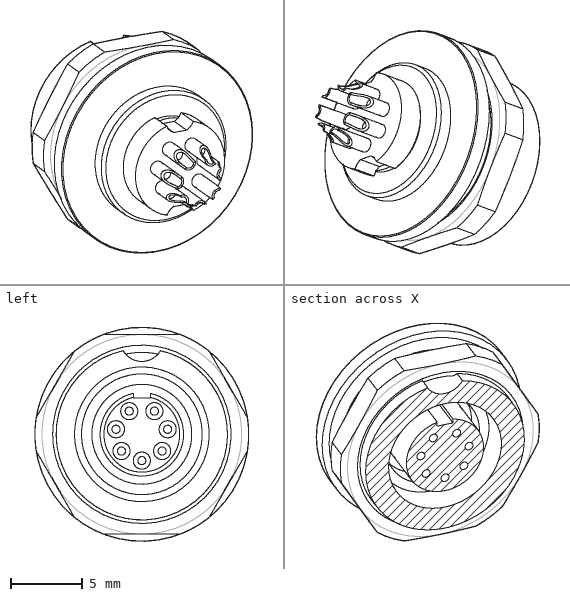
import cadquery as cq
import math

NUT_START = 3.06
NUT_END = 5.05
SEAL_START = 6.3
FLANGE_START = 6.63
FLANGE_END = 7.83
BOSS_END = 9.02
COLLAR_START = 9.44
COLLAR_END = 11.34
PIN_END = 14.5

BARREL_DIAMETER = 12.0
FLANGE_DIAMETER = 15.0
FLANGE_CHAMFER = 0.08
BOSS_DIAMETER = 9.8
BOSS_CHAMFER = 0.24
SEAL_SECTION_DIAMETER = 1.0
SEAL_CENTER_RADIUS = BARREL_DIAMETER / 2 + SEAL_SECTION_DIAMETER / 2
BORE_DIAMETER = 8.46
BORE_DEPTH = 4.5
MOUTH_DIAMETER = 9.44
MOUTH_DEPTH = 0.5
INNER_BORE_DIAMETER = 7.0
INNER_BORE_DEPTH = 6.0

GROOVE_RADIUS = 1.5
GROOVE_BOTTOM = 5.1

NUT_ACROSS_FLATS = 14.0
NUT_DIAMETER = 15.0
NUT_EDGE_CHAMFER = 0.1
NUT_BORE_DIAMETER = 11.48
NUT_BORE_CHAMFER_DIAMETER = 12.5
NUT_BORE_CHAMFER_DEPTH = 0.28

INSERT_FACE = 0.52
INSERT_DIAMETER = 5.85
INSERT_CHAMFER = 0.27
INSERT_KEYWAY_WIDTH = 1.18
INSERT_KEYWAY_FLOOR = 2.55
NECK_DIAMETER = 6.2
COLLAR_DIAMETER = 7.0
COLLAR_NOTCH_RADIUS = 1.12
COLLAR_NOTCH_MOUTH_WIDTH = 2.07
COLLAR_NOTCH_FLOOR_WIDTH = 1.0

CONTACT_COUNT = 7
CONTACT_CIRCLE_RADIUS = 1.85
CONTACT_PITCH_ANGLE = 50.5
FIRST_CONTACT_ANGLE = -90 - CONTACT_PITCH_ANGLE * (CONTACT_COUNT // 2)
SOCKET_DIAMETER = 0.57
SOCKET_MOUTH_DIAMETER = 1.2
SOCKET_DEPTH = 3.0
PIN_DIAMETER = 1.0
CUP_DIAMETER = 0.7
CUP_START = 12.75
SCOOP_START = 12.93
SCOOP_END_OFFSET = -0.18
SCOOP_RADIUS = 2.18
SIDE_CONTACTS = (1, 5)
SIDE_SCOOP_TWIST = -11.0


def disc(diameter, start, end):
    """Solid cylinder along X."""
    return cq.Workplane("YZ", origin=(start, 0, 0)).circle(diameter / 2).extrude(end - start)


def cone(start_diameter, end_diameter, start, end):
    """Solid truncated cone along X."""
    profile = [(start, 0), (start, start_diameter / 2), (end, end_diameter / 2), (end, 0)]
    return cq.Workplane("XY").polyline(profile).close().revolve(360, (0, 0, 0), (1, 0, 0))


def at_contact(body, index):
    """Move a body on the X axis to a contact place, with its +Y side facing outward."""
    angle = FIRST_CONTACT_ANGLE + index * CONTACT_PITCH_ANGLE
    return body.translate((0, CONTACT_CIRCLE_RADIUS, 0)).rotate((0, 0, 0), (1, 0, 0), angle)


def make_shell():
    """Barrel, flange and rear boss with the stepped front bore."""
    flange = disc(FLANGE_DIAMETER, FLANGE_START, FLANGE_END).faces(">X").chamfer(FLANGE_CHAMFER)
    boss = disc(BOSS_DIAMETER, FLANGE_END, BOSS_END).faces(">X").chamfer(BOSS_CHAMFER)
    barrel = disc(BARREL_DIAMETER, 0, FLANGE_START)
    groove_center = GROOVE_BOTTOM + GROOVE_RADIUS
    groove = disc(2 * GROOVE_RADIUS, 0, FLANGE_START).translate((0, 0, groove_center))
    shell = barrel.cut(groove).union(flange).union(boss)
    shell = shell.cut(disc(BORE_DIAMETER, 0, BORE_DEPTH))
    shell = shell.cut(disc(INNER_BORE_DIAMETER, 0, INNER_BORE_DEPTH))
    return shell.cut(cone(MOUTH_DIAMETER, BORE_DIAMETER, 0, MOUTH_DEPTH))


def make_seal():
    """O-ring around the barrel, partly sunk into the flange."""
    section_radius = SEAL_SECTION_DIAMETER / 2
    section = cq.Workplane("XY").center(SEAL_START + section_radius, SEAL_CENTER_RADIUS).circle(section_radius)
    return section.revolve(360, (-SEAL_START - section_radius, -SEAL_CENTER_RADIUS, 0),
                           (0, -SEAL_CENTER_RADIUS, 0))


def make_nut():
    """Hexagonal nut with turned corners and a chamfered thread bore."""
    across_corners = NUT_ACROSS_FLATS / math.cos(math.pi / 6)
    thickness = NUT_END - NUT_START
    hexagon = cq.Workplane("YZ", origin=(NUT_START, 0, 0)).polygon(6, across_corners).extrude(thickness)
    corner_drop = (NUT_DIAMETER - NUT_ACROSS_FLATS) / 2
    turned = disc(NUT_DIAMETER, NUT_START, NUT_END).faces("<X or >X").chamfer(NUT_EDGE_CHAMFER, corner_drop)
    nut = hexagon.intersect(turned).cut(disc(NUT_BORE_DIAMETER, NUT_START, NUT_END))
    front_chamfer_end = NUT_START + NUT_BORE_CHAMFER_DEPTH
    rear_chamfer_start = NUT_END - NUT_BORE_CHAMFER_DEPTH
    nut = nut.cut(cone(NUT_BORE_CHAMFER_DIAMETER, NUT_BORE_DIAMETER, NUT_START, front_chamfer_end))
    return nut.cut(cone(NUT_BORE_DIAMETER, NUT_BORE_CHAMFER_DIAMETER, rear_chamfer_start, NUT_END))


def make_insert():
    """Contact carrier with its front keyway."""
    insert = disc(INSERT_DIAMETER, INSERT_FACE, INNER_BORE_DEPTH).faces("<X").chamfer(INSERT_CHAMFER)
    keyway = cq.Workplane("XY").box(
        INNER_BORE_DEPTH, INSERT_KEYWAY_WIDTH, INSERT_DIAMETER, centered=(False, True, False)
    )
    return insert.cut(keyway.translate((0, 0, INSERT_KEYWAY_FLOOR)))


def make_collar():
    """Rear neck and collar, with flat-bottomed round notches at the top and bottom of the collar."""
    neck = disc(NECK_DIAMETER, BOSS_END, COLLAR_START)
    collar = disc(COLLAR_DIAMETER, COLLAR_START, COLLAR_END)
    half_mouth = COLLAR_NOTCH_MOUTH_WIDTH / 2
    half_floor = COLLAR_NOTCH_FLOOR_WIDTH / 2
    mouth_height = math.sqrt((COLLAR_DIAMETER / 2) ** 2 - half_mouth**2)
    notch_center = mouth_height + math.sqrt(COLLAR_NOTCH_RADIUS**2 - half_mouth**2)
    floor_height = notch_center - math.sqrt(COLLAR_NOTCH_RADIUS**2 - half_floor**2)
    notch = disc(2 * COLLAR_NOTCH_RADIUS, COLLAR_START, COLLAR_END).translate((0, 0, notch_center))
    below_floor = cq.Workplane("XY").box(PIN_END, COLLAR_DIAMETER, floor_height, centered=(False, True, False))
    notch = notch.cut(below_floor)
    collar = collar.cut(notch).cut(notch.mirror("XY"))
    return neck.union(collar)


def make_socket():
    """Countersunk blind hole with a conical bottom, as a cutting body."""
    countersink_depth = (SOCKET_MOUTH_DIAMETER - SOCKET_DIAMETER) / 2
    hole_end = INSERT_FACE + SOCKET_DEPTH
    radius = SOCKET_DIAMETER / 2
    profile = [
        (INSERT_FACE, 0),
        (INSERT_FACE, SOCKET_MOUTH_DIAMETER / 2),
        (INSERT_FACE + countersink_depth, radius),
        (hole_end, radius),
        (hole_end + radius, 0),
    ]
    return cq.Workplane("XY").polyline(profile).close().revolve(360, (0, 0, 0), (1, 0, 0))


def make_solder_pin():
    """Pin with a blind solder cup opened on its outward side by a curved scoop."""
    pin = disc(PIN_DIAMETER, COLLAR_END, PIN_END).cut(disc(CUP_DIAMETER, CUP_START, PIN_END))
    run = PIN_END - SCOOP_START
    drop = PIN_DIAMETER / 2 - SCOOP_END_OFFSET
    chord = math.hypot(run, drop)
    rise = math.sqrt(SCOOP_RADIUS**2 - (chord / 2) ** 2)
    center_x = (SCOOP_START + PIN_END) / 2 + rise * drop / chord
    center_y = (PIN_DIAMETER / 2 + SCOOP_END_OFFSET) / 2 + rise * run / chord
    scoop = cq.Workplane("XY").center(center_x, center_y).circle(SCOOP_RADIUS).extrude(PIN_DIAMETER, both=True)
    return pin.cut(scoop)


result = make_shell().union(make_seal()).union(make_nut()).union(make_insert()).union(make_collar())
socket = make_socket()
solder_pin = make_solder_pin()
for contact in range(CONTACT_COUNT):
    twist = SIDE_SCOOP_TWIST if contact in SIDE_CONTACTS else 0
    twisted_pin = solder_pin.rotate((0, 0, 0), (1, 0, 0), twist)
    result = result.cut(at_contact(socket, contact)).union(at_contact(twisted_pin, contact))